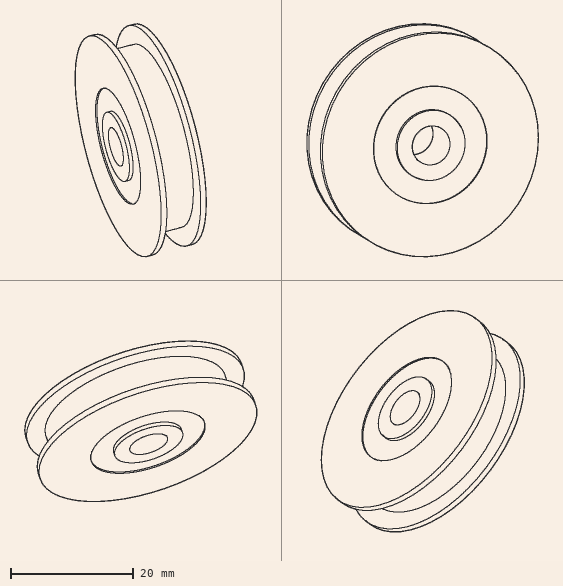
import cadquery as cq

flange_diameter = 37.3
groove_diameter = 30.95
recess_diameter = 19.6
hub_diameter = 11.7
bore_diameter = 6.5

hub_width = 8.75
wheel_width = 8.0
flange_thickness = 1.0
recess_depth = 0.25

groove_width = wheel_width - 2 * flange_thickness
web_width = wheel_width - 2 * recess_depth


def disc(diameter, width):
    """Solid disc about the Y axis, centred on the XZ plane."""
    return cq.Workplane("XZ", origin=(0, width / 2, 0)).circle(diameter / 2).extrude(width)


def ring(outer_diameter, inner_diameter, width):
    """Disc with a round hole through its middle."""
    return disc(outer_diameter, width).cut(disc(inner_diameter, width))


rim = ring(flange_diameter, recess_diameter, wheel_width)
rim = rim.cut(ring(flange_diameter, groove_diameter, groove_width))

web = disc(recess_diameter, web_width)

hub = disc(hub_diameter, hub_width)

bore = disc(bore_diameter, hub_width)

result = rim.union(web).union(hub).cut(bore)